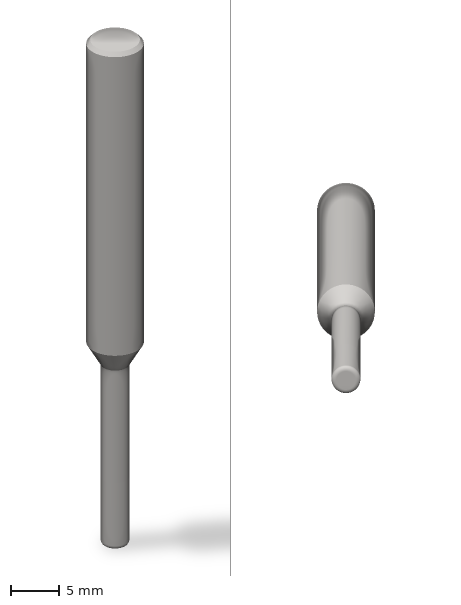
import cadquery as cq
import math

total_length = 60.0
shank_radius = 3.0
tip_radius = 1.5
neck_radius = tip_radius

tip_length = 8.0
shank_bottom = 24.0

taper_half_angle = 30.0
shank_chamfer = 0.4
tip_corner_radius = 0.5

taper_height = (shank_radius - neck_radius) / math.tan(math.radians(taper_half_angle))
neck_top = shank_bottom - taper_height


def make_holder():
    """Chamfered shank, conical taper and slim neck, turned as one piece."""
    half_profile = (
        cq.Workplane("XZ")
        .moveTo(0, tip_length)
        .lineTo(neck_radius, tip_length)
        .lineTo(neck_radius, neck_top)
        .lineTo(shank_radius, shank_bottom)
        .lineTo(shank_radius, total_length)
        .lineTo(0, total_length)
        .close()
    )
    turned = half_profile.revolve(360, (0, 0, 0), (0, 1, 0))
    return turned.faces(">Z").edges().chamfer(shank_chamfer)


def make_cutting_tip():
    """Cylindrical tip with a rounded lower corner, butted against the neck."""
    blank = cq.Workplane("XY").circle(tip_radius).extrude(tip_length)
    return blank.faces("<Z").edges().fillet(tip_corner_radius)


holder = make_holder()
cutting_tip = make_cutting_tip()

result = cq.Compound.makeCompound([holder.val(), cutting_tip.val()])